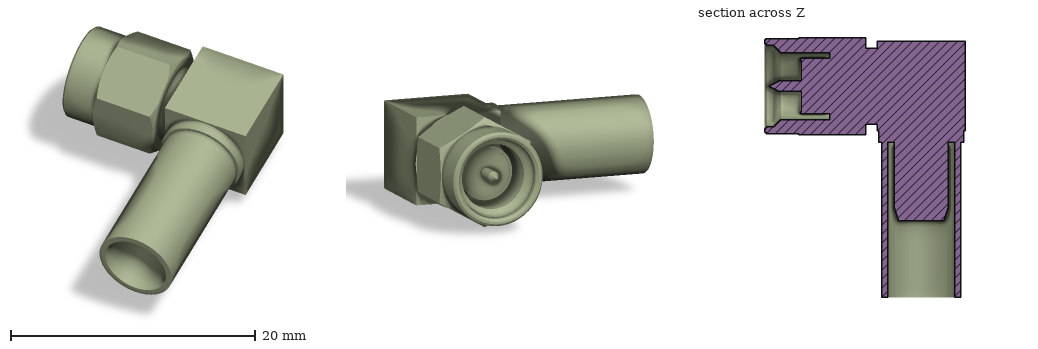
import cadquery as cq
import math


ring_radius = 3.92
ring_rim_chamfer = 0.2
hex_front_x = 2.8
hex_rear_x = 8.33
hex_across_flats = 8.0
hex_chamfer_angle = 30
blank_margin = 0.21
rear_collar_length = 0.06

mouth_radius = 3.53
mouth_chamfer = 0.21
entry_length = 0.75
thread_radius = 2.72
socket_floor_x = 5.35

sleeve_radius = 2.3
sleeve_bore_radius = 2.1
sleeve_front_x = 2.91
insulator_recess = 0.09
pin_radius = 0.45
pin_tip_x = 0.32
pin_cone_length = 0.88

neck_radius = 3.15
block_front_x = 9.2
block_length = 7.28
block_width = 7.37

overall_length = 21.42
collar_radius = 3.51
collar_length = 0.95
tube_outer_radius = 3.25
tube_inner_radius = 2.75
stub_radius = 2.25
stub_tip_radius = 1.86
stub_taper_length = 1.15
stub_length = 6.43

hex_apothem = hex_across_flats / 2
hex_corner_radius = hex_apothem / math.cos(math.radians(30))
chamfer_slope = math.tan(math.radians(hex_chamfer_angle))
rear_collar_radius = hex_apothem + rear_collar_length / chamfer_slope
cable_axis_x = block_front_x + block_length / 2
block_side_y = -block_width / 2
collar_end_y = block_side_y - collar_length
tube_end_y = rear_collar_radius - overall_length


def turned_on_x(profile):
    """Solid of revolution about X from (x, radius) points."""
    return cq.Workplane("XY").polyline(profile).close().revolve(360, (0, 0, 0), (1, 0, 0))


def rod_along_cable(radius, start_y, end_y):
    """Cylinder on the cable axis running toward -Y."""
    plane = cq.Workplane("XZ", origin=(cable_axis_x, start_y, 0))
    return plane.circle(radius).extrude(start_y - end_y)


def make_nut():
    blank_radius = hex_corner_radius + blank_margin
    front_cone_length = (blank_radius - ring_radius) * chamfer_slope
    rear_cone_length = (blank_radius - hex_apothem) * chamfer_slope
    blank = turned_on_x([
        (0, 0),
        (0, ring_radius - ring_rim_chamfer),
        (ring_rim_chamfer, ring_radius),
        (hex_front_x, ring_radius),
        (hex_front_x + front_cone_length, blank_radius),
        (hex_rear_x - rear_cone_length, blank_radius),
        (hex_rear_x, hex_apothem),
        (hex_rear_x, 0),
    ])
    corners = [
        (hex_corner_radius * math.sin(k * math.pi / 3), hex_corner_radius * math.cos(k * math.pi / 3))
        for k in range(6)
    ]
    waste = (
        cq.Workplane("YZ", origin=(hex_front_x, 0, 0))
        .circle(blank_radius + blank_margin)
        .polyline(corners).close()
        .extrude(hex_rear_x - rear_collar_length - hex_front_x)
    )
    return blank.cut(waste)


def make_socket():
    entry_radius = mouth_radius - mouth_chamfer
    taper_length = entry_radius - thread_radius
    insulator_front_x = sleeve_front_x + insulator_recess
    return turned_on_x([
        (0, 0),
        (0, mouth_radius),
        (mouth_chamfer, entry_radius),
        (entry_length, entry_radius),
        (entry_length + taper_length, thread_radius),
        (socket_floor_x, thread_radius),
        (socket_floor_x, sleeve_radius),
        (sleeve_front_x, sleeve_radius),
        (sleeve_front_x, sleeve_bore_radius),
        (insulator_front_x, sleeve_bore_radius),
        (insulator_front_x, 0),
    ])


def make_pin():
    return turned_on_x([
        (pin_tip_x, 0),
        (pin_tip_x + pin_cone_length, pin_radius),
        (hex_rear_x, pin_radius),
        (hex_rear_x, 0),
    ])


def make_block():
    neck = (
        cq.Workplane("YZ", origin=(hex_rear_x, 0, 0))
        .circle(neck_radius)
        .extrude(block_front_x - hex_rear_x)
    )
    block = cq.Workplane("XY").box(block_length, block_width, block_width)
    return block.translate((cable_axis_x, 0, 0)).union(neck)


def make_crimp_tube():
    collar = rod_along_cable(collar_radius, block_side_y, collar_end_y)
    tube = rod_along_cable(tube_outer_radius, collar_end_y, tube_end_y)
    bore = rod_along_cable(tube_inner_radius, collar_end_y, tube_end_y)
    stub = (
        rod_along_cable(stub_radius, collar_end_y, collar_end_y - stub_length)
        .faces("<Y").chamfer(stub_taper_length, stub_radius - stub_tip_radius)
    )
    return collar.union(tube).cut(bore).union(stub)


result = (
    make_nut()
    .cut(make_socket())
    .union(make_pin())
    .union(make_block())
    .union(make_crimp_tube())
)